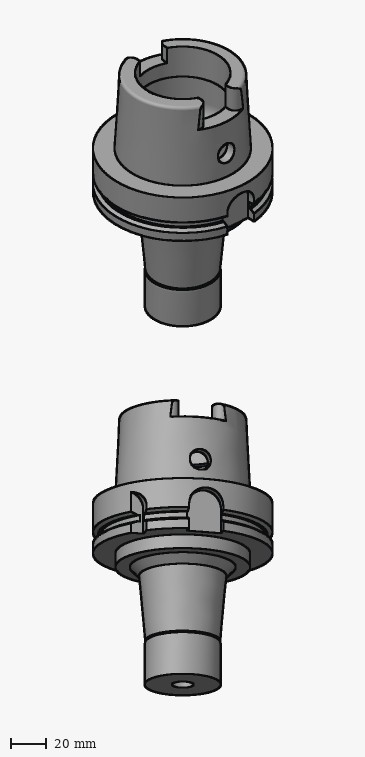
import cadquery as cq
import math

TOTAL_HEIGHT = 155
TAPER_LENGTH = 50.0
FLANGE_HEIGHT = 29.0
HUB_HEIGHT = 7.9
HUB_CONE_HEIGHT = 5.1
NUT_HEIGHT = 24.2
NUT_GAP = 1.0

flange_top = TOTAL_HEIGHT - TAPER_LENGTH
flange_bottom = flange_top - FLANGE_HEIGHT
hub_bottom = flange_bottom - HUB_HEIGHT
neck_top = hub_bottom - HUB_CONE_HEIGHT
neck_bottom = NUT_HEIGHT + NUT_GAP

FLANGE_RADIUS = 49.99
TAPER_TOP_RADIUS = 35.3
TAPER_BASE_RADIUS = 38.0
TAPER_EDGE_FILLET = 2.0
HUB_RADIUS = 37.5
HUB_CONE_RADIUS = 29.5
NECK_TOP_RADIUS = 24.3
NECK_BOTTOM_RADIUS = 21.0
SPIGOT_RADIUS = 16.6

GROOVE_RADIUS = 45.9
GROOVE_FLOOR_WIDTH = 3.7
GROOVE_CHAMFER_HEIGHT = 1.5
GROOVE_CHAMFER_DEPTH = 2.8
GROOVE_TOP_DROP = 16.7

MOUTH_RADIUS = 26.5
MOUTH_DEPTH = 20.0
UNDERCUT_RADIUS = 31.3
SHOULDER_DEPTH = 40.0
SHOULDER_ARC_RADIUS = 10.0
WELL_DEPTH = 69.8
COUNTERBORE_RADIUS = 12.2
COUNTERBORE_DEPTH = 9.3
BORE_RADIUS = 6.0

END_SLOT_WIDTH = 20.0
END_SLOT_CORNER_RADIUS = 5.0
END_SLOT_RELIEF_X = 32.1
SHALLOW_SLOT_DEPTH = 10.0
DEEP_SLOT_DEPTH = 14.9

CROSS_HOLE_RADIUS = 6.0
CROSS_HOLE_DROP = 35.0

RIM_SLOT_WIDTH = 19.7
RIM_SLOT_DROP = 5.0
KEYWAY_FLOOR_X = 44.0
NOTCH_FLOOR_X = 31.6
NOTCH_CENTER_Y = 41.4

NUT_RADIUS = 21.2
NUT_CHAMFER_HEIGHT = 1.9
NUT_CHAMFER_WIDTH = 0.2


def revolve_about_z(outline):
    """Solid of revolution about Z from a closed outline drawn as radius and height."""
    return outline.revolve(360, (0, 0, 0), (0, 1, 0))


def make_holder_blank():
    groove_top = flange_top - GROOVE_TOP_DROP
    floor_top = groove_top - GROOVE_CHAMFER_HEIGHT
    floor_bottom = floor_top - GROOVE_FLOOR_WIDTH
    groove_bottom = floor_bottom - GROOVE_CHAMFER_HEIGHT
    lip_radius = FLANGE_RADIUS - GROOVE_CHAMFER_DEPTH
    profile = [
        (0, NUT_HEIGHT),
        (SPIGOT_RADIUS, NUT_HEIGHT),
        (SPIGOT_RADIUS, neck_bottom),
        (NECK_BOTTOM_RADIUS, neck_bottom),
        (NECK_TOP_RADIUS, neck_top),
        (HUB_CONE_RADIUS, hub_bottom),
        (HUB_RADIUS, hub_bottom),
        (HUB_RADIUS, flange_bottom),
        (FLANGE_RADIUS, flange_bottom),
        (FLANGE_RADIUS, groove_bottom),
        (lip_radius, floor_bottom),
        (GROOVE_RADIUS, floor_bottom),
        (GROOVE_RADIUS, floor_top),
        (lip_radius, floor_top),
        (FLANGE_RADIUS, groove_top),
        (FLANGE_RADIUS, flange_top),
        (TAPER_BASE_RADIUS, flange_top),
        (TAPER_TOP_RADIUS, TOTAL_HEIGHT),
        (0, TOTAL_HEIGHT),
    ]
    blank = revolve_about_z(cq.Workplane("XZ").polyline(profile).close())
    return blank.faces(">Z").edges().fillet(TAPER_EDGE_FILLET)


def make_cavity():
    """Stepped cavity: mouth, wide undercut with a rounded shoulder, well, counterbore and bore."""
    undercut_top = TOTAL_HEIGHT - MOUTH_DEPTH
    shoulder_top = TOTAL_HEIGHT - SHOULDER_DEPTH
    arc_center_radius = UNDERCUT_RADIUS - SHOULDER_ARC_RADIUS
    arc_angle = math.acos((MOUTH_RADIUS - arc_center_radius) / SHOULDER_ARC_RADIUS)
    arc_mid_radius = arc_center_radius + SHOULDER_ARC_RADIUS * math.cos(arc_angle / 2)
    arc_mid_height = shoulder_top - SHOULDER_ARC_RADIUS * math.sin(arc_angle / 2)
    well_top = shoulder_top - SHOULDER_ARC_RADIUS * math.sin(arc_angle)
    well_bottom = TOTAL_HEIGHT - WELL_DEPTH
    counterbore_bottom = well_bottom - COUNTERBORE_DEPTH
    profile = (
        cq.Workplane("XZ")
        .lineTo(BORE_RADIUS, 0)
        .lineTo(BORE_RADIUS, counterbore_bottom)
        .lineTo(COUNTERBORE_RADIUS, counterbore_bottom)
        .lineTo(COUNTERBORE_RADIUS, well_bottom)
        .lineTo(MOUTH_RADIUS, well_bottom)
        .lineTo(MOUTH_RADIUS, well_top)
        .threePointArc((arc_mid_radius, arc_mid_height), (UNDERCUT_RADIUS, shoulder_top))
        .lineTo(UNDERCUT_RADIUS, undercut_top)
        .lineTo(MOUTH_RADIUS, undercut_top)
        .lineTo(MOUTH_RADIUS, TOTAL_HEIGHT)
        .lineTo(0, TOTAL_HEIGHT)
        .close()
    )
    return revolve_about_z(profile)


def make_end_slot(side, depth):
    """Slot at +X or -X whose mouth corners are rounded into a relief flat."""
    half_width = END_SLOT_WIDTH / 2
    corner = END_SLOT_CORNER_RADIUS
    relief = side * END_SLOT_RELIEF_X
    outside = side * FLANGE_RADIUS
    round_start = relief - side * corner
    round_mid = round_start + side * corner * math.sin(math.pi / 4)
    mid_y = half_width + corner * (1 - math.cos(math.pi / 4))
    flat_y = half_width + corner
    return (
        cq.Workplane("XY")
        .workplane(offset=TOTAL_HEIGHT - depth)
        .moveTo(0, -half_width)
        .lineTo(round_start, -half_width)
        .threePointArc((round_mid, -mid_y), (relief, -flat_y))
        .lineTo(relief, -FLANGE_RADIUS)
        .lineTo(outside, -FLANGE_RADIUS)
        .lineTo(outside, FLANGE_RADIUS)
        .lineTo(relief, FLANGE_RADIUS)
        .lineTo(relief, flat_y)
        .threePointArc((round_mid, mid_y), (round_start, half_width))
        .lineTo(0, half_width)
        .close()
        .extrude(depth)
    )


def make_rim_slot(side, floor_x, center_y):
    """Round-topped slot cut into the flange rim from +X or -X, open at the flange bottom."""
    half_width = RIM_SLOT_WIDTH / 2
    arch_top = flange_top - RIM_SLOT_DROP
    arch_start = arch_top - half_width
    return (
        cq.Workplane("YZ")
        .workplane(offset=side * floor_x)
        .moveTo(center_y - half_width, flange_bottom)
        .lineTo(center_y - half_width, arch_start)
        .threePointArc((center_y, arch_top), (center_y + half_width, arch_start))
        .lineTo(center_y + half_width, flange_bottom)
        .close()
        .extrude(side * FLANGE_RADIUS)
    )


def make_cross_hole():
    return (
        cq.Workplane("YZ")
        .center(0, TOTAL_HEIGHT - CROSS_HOLE_DROP)
        .circle(CROSS_HOLE_RADIUS)
        .extrude(FLANGE_RADIUS, both=True)
    )


def make_holder():
    holder = make_holder_blank().cut(make_cavity())
    holder = holder.cut(make_end_slot(-1, SHALLOW_SLOT_DEPTH)).cut(make_end_slot(1, DEEP_SLOT_DEPTH))
    holder = holder.cut(make_cross_hole())
    for side in (-1, 1):
        holder = holder.cut(make_rim_slot(side, KEYWAY_FLOOR_X, 0))
    return holder.cut(make_rim_slot(-1, NOTCH_FLOOR_X, NOTCH_CENTER_Y))


def make_nut():
    profile = [
        (BORE_RADIUS, 0),
        (NUT_RADIUS, 0),
        (NUT_RADIUS, NUT_HEIGHT - NUT_CHAMFER_HEIGHT),
        (NUT_RADIUS - NUT_CHAMFER_WIDTH, NUT_HEIGHT),
        (BORE_RADIUS, NUT_HEIGHT),
    ]
    return revolve_about_z(cq.Workplane("XZ").polyline(profile).close())


holder = make_holder()
nut = make_nut()
result = cq.Compound.makeCompound([holder.val(), nut.val()])